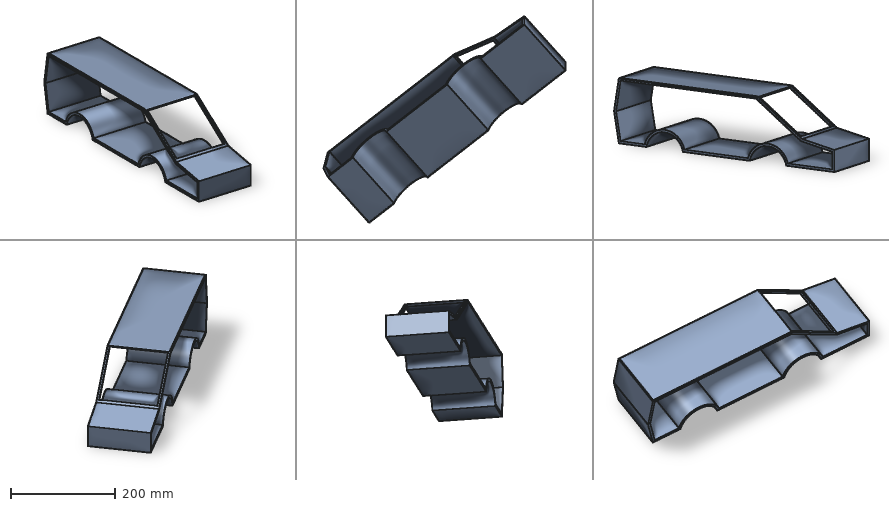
import cadquery as cq
import math

length = 501.5
width = 123.5
height = 128.5
wall = 5.0

rear_corner_x = 11.0
rear_bulge_z = 62.0
roof_front_x = 325.5
hood_rear_x = 428.5
hood_rear_z = 56.5
nose_z = 43.5

arch_centers_x = (115.5, 350.5)
arch_radius = 42.5
arch_top_z = 33.5
arch_center_z = arch_top_z - arch_radius

window_side_margin = 4.5
window_roof_margin = 2.0
window_hood_margin = 6.5

roof_chamfer = 1.5


def extrude_across(profile):
    """Extrude a side profile across the full width, centred on Y = 0."""
    return profile.extrude(width / 2, both=True)


def arch_cylinder(center_x, radius):
    """Cylinder across the body that shapes one wheel arch."""
    profile = cq.Workplane("XZ").center(center_x, arch_center_z).circle(radius)
    return extrude_across(profile)


def make_shell():
    """Closed band of constant wall thickness, open on both sides."""
    outline = [
        (rear_corner_x, 0),
        (0, rear_bulge_z),
        (rear_corner_x, height),
        (roof_front_x, height),
        (hood_rear_x, hood_rear_z),
        (length, nose_z),
        (length, 0),
    ]
    outer_profile = cq.Workplane("XZ").polyline(outline).close()
    inner_profile = cq.Workplane("XZ").polyline(outline).close().offset2D(-wall, "intersection")
    outer = extrude_across(outer_profile)
    cavity = extrude_across(inner_profile)
    for center_x in arch_centers_x:
        outer = outer.cut(arch_cylinder(center_x, arch_radius))
        cavity = cavity.cut(arch_cylinder(center_x, arch_radius + wall))
    return outer.cut(cavity)


def make_windscreen_cutter():
    """Box normal to the sloping windscreen, inset from its edges."""
    run = hood_rear_x - roof_front_x
    drop = height - hood_rear_z
    slope_length = math.hypot(run, drop)
    middle = ((roof_front_x + hood_rear_x) / 2, 0, (height + hood_rear_z) / 2)
    plane = cq.Plane(origin=middle, xDir=(run, 0, -drop), normal=(drop, 0, run))
    opening_length = slope_length - window_hood_margin - window_roof_margin
    opening_width = width - 2 * window_side_margin
    opening_shift = (window_roof_margin - window_hood_margin) / 2
    cutter_depth = 4 * wall
    workplane = cq.Workplane(plane).center(opening_shift, 0)
    return workplane.box(opening_length, opening_width, cutter_depth)


body = make_shell().faces(">Z").chamfer(roof_chamfer)
result = body.cut(make_windscreen_cutter())